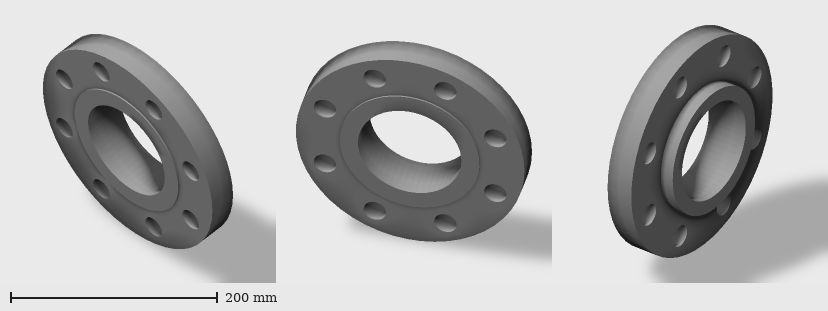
import cadquery as cq

flange_diameter = 228.5
bore_diameter = 103.3
hub_diameter = 133.3
raised_face_diameter = 139.7
total_length = 44.5
raised_face_height = 1.5
flange_thickness = 28.5
hub_height = total_length - raised_face_height - flange_thickness

bolt_hole_count = 8
bolt_hole_diameter = 22.5
bolt_circle_diameter = 184.3
first_bolt_angle = 180 / bolt_hole_count


def disc(diameter, start_y, length):
    """Solid disc about the Y axis, growing toward +Y from start_y."""
    return cq.Workplane("XZ", origin=(0, start_y, 0)).circle(diameter / 2).extrude(-length)


def bolt_holes():
    """Cutters for the ring of equally spaced bolt holes."""
    return (
        cq.Workplane("XZ")
        .polarArray(bolt_circle_diameter / 2, first_bolt_angle, 360, bolt_hole_count)
        .circle(bolt_hole_diameter / 2)
        .extrude(-total_length)
    )


raised_face = disc(raised_face_diameter, 0, raised_face_height)
flange = disc(flange_diameter, raised_face_height, flange_thickness)
hub = disc(hub_diameter, raised_face_height + flange_thickness, hub_height)
bore = disc(bore_diameter, 0, total_length)

result = raised_face.union(flange).union(hub).cut(bore).cut(bolt_holes())